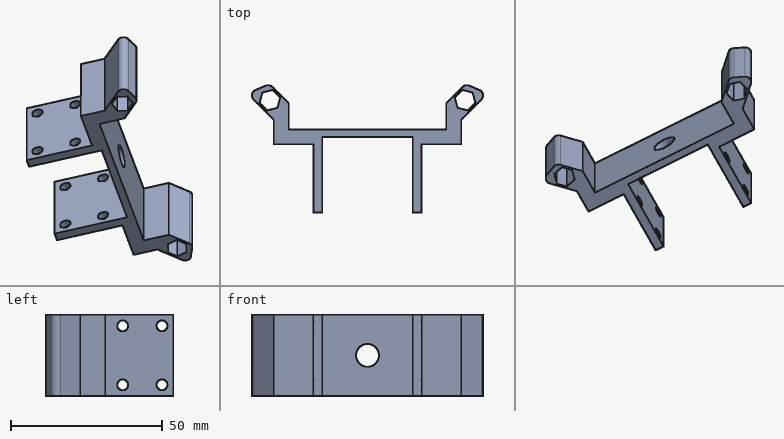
import cadquery as cq
import math

width = 76.4
depth = 42.2
height = 27.0

leg_outer_x = 17.9
leg_thickness = 3.0
shelf_y = 22.5
channel_y = 25.0
floor_y = 27.5
wall_outer_x = 31.0
wall_inner_x = 26.0
elbow_outer_y = 30.7
elbow_inner_y = 36.1

tip_radius = 2.0
hex_across_flats = 6.0
hex_center_x = 32.25

center_hole_diameter = 7.5
leg_hole_diameter = 3.5
leg_hole_edge = 3.75
leg_hole_pitch_y = 13.0

leg_inner_x = leg_outer_x - leg_thickness

outer_face_offset = elbow_outer_y - wall_outer_x
inner_face_offset = elbow_inner_y - wall_inner_x
middle_offset = (outer_face_offset + inner_face_offset) / 2
hex_center_y = hex_center_x + middle_offset

outer_round_x = width / 2 - tip_radius
outer_round_y = outer_round_x + outer_face_offset + tip_radius * math.sqrt(2)
inner_round_y = depth - tip_radius
inner_round_x = inner_round_y - inner_face_offset + tip_radius * math.sqrt(2)
tip_normal = 90 + math.degrees(
    math.atan2(inner_round_y - outer_round_y, inner_round_x - outer_round_x) - math.pi
)


def round_point(center_x, center_y, angle):
    """Point on a tip corner round at an angle in degrees."""
    direction = math.radians(angle)
    return (
        center_x + tip_radius * math.cos(direction),
        center_y + tip_radius * math.sin(direction),
    )


def half_body():
    """Right half of the constant profile, extruded to full height."""
    outer_round = (outer_round_x, outer_round_y)
    inner_round = (inner_round_x, inner_round_y)
    outer_face_normal = -45
    inner_face_normal = 135
    return (
        cq.Workplane("XY")
        .moveTo(0, channel_y)
        .lineTo(leg_inner_x, channel_y)
        .lineTo(leg_inner_x, 0)
        .lineTo(leg_outer_x, 0)
        .lineTo(leg_outer_x, shelf_y)
        .lineTo(wall_outer_x, shelf_y)
        .lineTo(wall_outer_x, elbow_outer_y)
        .lineTo(*round_point(*outer_round, outer_face_normal))
        .threePointArc(
            round_point(*outer_round, (outer_face_normal + tip_normal) / 2),
            round_point(*outer_round, tip_normal),
        )
        .lineTo(*round_point(*inner_round, tip_normal))
        .threePointArc(
            round_point(*inner_round, (tip_normal + inner_face_normal) / 2),
            round_point(*inner_round, inner_face_normal),
        )
        .lineTo(wall_inner_x, elbow_inner_y)
        .lineTo(wall_inner_x, floor_y)
        .lineTo(0, floor_y)
        .close()
        .extrude(height)
    )


def hex_socket():
    """Hexagonal through hole with two flats parallel to the arm faces."""
    flat_turn = 45
    hex_diameter = hex_across_flats / math.cos(math.pi / 6)
    return (
        cq.Workplane("XY")
        .polygon(6, hex_diameter)
        .extrude(height)
        .rotate((0, 0, 0), (0, 0, 1), flat_turn)
        .translate((hex_center_x, hex_center_y, 0))
    )


def center_hole():
    """Round hole through the cross plate along Y."""
    return (
        cq.Workplane("XZ")
        .center(0, height / 2)
        .circle(center_hole_diameter / 2)
        .extrude(-depth)
    )


def leg_holes():
    """Four round holes running through both legs along X."""
    pitch_z = height - 2 * leg_hole_edge
    return (
        cq.Workplane("YZ")
        .center(leg_hole_edge + leg_hole_pitch_y / 2, height / 2)
        .rarray(leg_hole_pitch_y, pitch_z, 2, 2)
        .circle(leg_hole_diameter / 2)
        .extrude(leg_outer_x, both=True)
    )


right_half = half_body().cut(hex_socket())
left_half = right_half.mirror("YZ")
result = right_half.union(left_half).cut(center_hole()).cut(leg_holes()).clean()